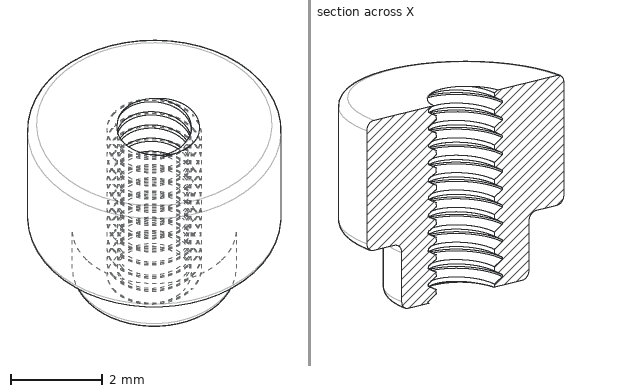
import cadquery as cq
import math

head_diameter = 5.56
stem_diameter = 3.6
total_height = 4.53
head_height = 3.0
stem_height = total_height - head_height
edge_radius = 0.2

minor_radius = 1.625 / 2
major_radius = 2.075 / 2
pitch = 0.4
flank_angle = math.radians(30)
crest_width = pitch / 4
cutter_overlap = 0.03


def make_body():
    """Round head on a narrower stem, with every outer edge and the inner corner rounded."""
    stem = cq.Workplane("XY").circle(stem_diameter / 2).extrude(stem_height)
    head = (
        cq.Workplane("XY")
        .workplane(offset=stem_height)
        .circle(head_diameter / 2)
        .extrude(head_height)
    )
    return stem.union(head).edges("%CIRCLE").fillet(edge_radius)


def make_thread_cutter():
    """Right-hand helical groove, centred on the +X side of the bore at the top face."""
    turns_below_top = math.ceil(total_height / pitch) + 1
    start_z = total_height - turns_below_top * pitch
    helix_height = (turns_below_top + 1) * pitch
    helix = cq.Wire.makeHelix(pitch, helix_height, minor_radius)

    inner_radius = minor_radius - cutter_overlap
    mouth_half = (pitch - crest_width) / 2
    inner_half = mouth_half + cutter_overlap * math.tan(flank_angle)
    root_half = mouth_half - (major_radius - minor_radius) * math.tan(flank_angle)
    groove = (
        cq.Workplane("XZ")
        .polyline([
            (inner_radius, -inner_half),
            (major_radius, -root_half),
            (major_radius, root_half),
            (inner_radius, inner_half),
        ])
        .close()
        .sweep(cq.Workplane(obj=helix), isFrenet=True)
    )
    return groove.translate((0, 0, start_z))


bore = cq.Workplane("XY").circle(minor_radius).extrude(total_height)

result = make_body().cut(make_thread_cutter()).cut(bore)